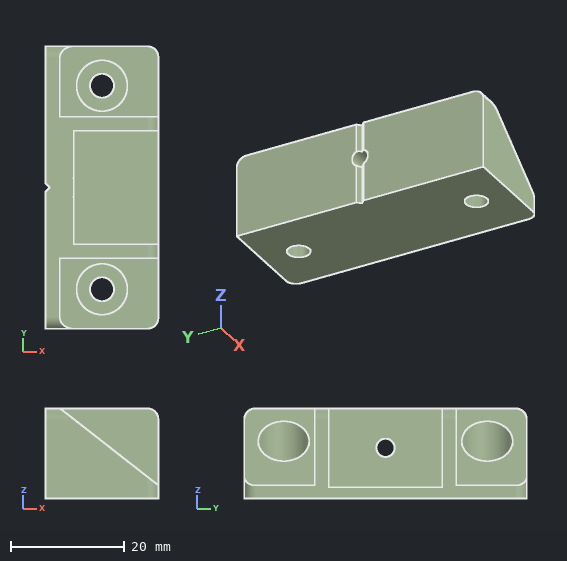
import cadquery as cq

depth_x = 20.0
length_y = 50.0
height_z = 16.0
corner_radius = 2.0

slope_start_x = 2.55
slope_end_z = 2.35

bay_width = 20.0
rib_thickness = 2.5
wall_thickness = 5.0
floor_thickness = 2.0

mount_spacing = 36.0
mount_x = depth_x / 2
mount_diameter = 4.2
counterbore_diameter = 9.0
seat_z = 3.0

wall_hole_diameter = 3.2
wall_hole_z = 9.0
groove_width = 1.5
groove_depth = groove_width / 2

half_length = length_y / 2
bay_depth = depth_x - wall_thickness
rib_outer_y = bay_width / 2 + rib_thickness


def make_block():
    """Full-size block standing on Z = 0 with its back wall on X = 0."""
    return cq.Workplane("XY").box(depth_x, length_y, height_z, centered=(False, True, False))


def round_ends(block):
    """Round the top ends, the upright front corners and the top front edge, then intersect all three."""
    top_rounded = block.edges("|X and >Z").fillet(corner_radius)
    front_rounded = block.edges("|Z and >X").fillet(corner_radius)
    rib_rounded = block.edges("|Y and >X and >Z").fillet(corner_radius)
    return top_rounded.intersect(front_rounded).intersect(rib_rounded)


def slope_cutter(side):
    """Wedge above the slope, from a rib out to the end of the block."""
    wedge = (
        cq.Workplane("XZ")
        .moveTo(slope_start_x, height_z)
        .lineTo(depth_x, slope_end_z)
        .lineTo(depth_x, height_z)
        .close()
        .extrude(half_length - rib_outer_y)
    )
    start_y = -rib_outer_y if side < 0 else half_length
    return wedge.translate((0, start_y, 0))


def bay_cutter():
    """Open-fronted pocket between the ribs."""
    return (
        cq.Workplane("XY")
        .box(bay_depth, bay_width, height_z - floor_thickness, centered=(False, True, False))
        .translate((wall_thickness, 0, floor_thickness))
    )


def mount_cutter(side):
    """Through hole with a flat-bottomed counterbore open at the top."""
    center = cq.Workplane("XY").center(mount_x, side * mount_spacing / 2)
    hole = center.circle(mount_diameter / 2).extrude(height_z)
    counterbore = (
        center.workplane(offset=seat_z).circle(counterbore_diameter / 2).extrude(height_z - seat_z)
    )
    return hole.union(counterbore)


def wall_hole_cutter():
    """Horizontal hole through the back wall into the bay."""
    return (
        cq.Workplane("YZ").center(0, wall_hole_z).circle(wall_hole_diameter / 2).extrude(wall_thickness)
    )


def groove_cutter():
    """Upright V groove along the full height of the back face."""
    return (
        cq.Workplane("XY")
        .moveTo(0, -groove_width / 2)
        .lineTo(groove_depth, 0)
        .lineTo(0, groove_width / 2)
        .close()
        .extrude(height_z)
    )


result = round_ends(make_block())
for side in (-1, 1):
    result = result.cut(slope_cutter(side)).cut(mount_cutter(side))
result = result.cut(bay_cutter()).cut(wall_hole_cutter()).cut(groove_cutter())